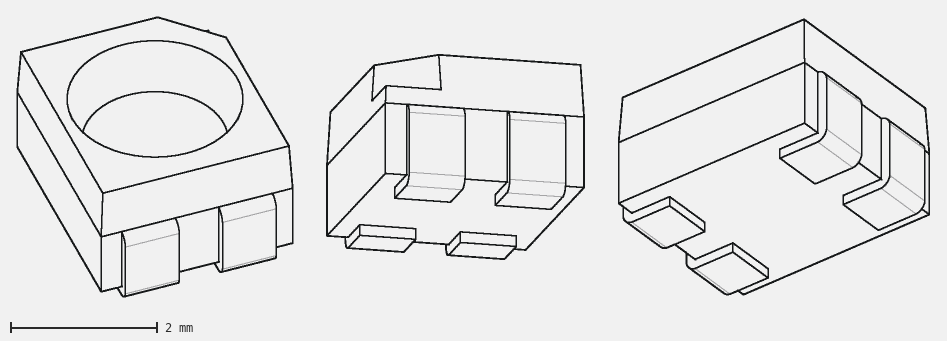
import cadquery as cq
import math

overall_length = 3.5
body_width = 2.8
lead_thickness = 0.15
lead_width = 0.788
lead_pitch = 1.418
foot_length = 0.8
lead_bend_radius = 0.175
base_height = 1.0
cover_height = 0.75
draft_angle = 3.0
cup_top_diameter = 2.4
cup_floor_diameter = 2.0
corner_leg = 0.8
corner_depth = 0.5

body_length = overall_length - 2 * lead_thickness
base_bottom = lead_thickness
base_top = base_bottom + base_height
cover_top = base_top + cover_height


def make_base():
    """Plain block whose top face closes the bottom of the cup."""
    return (
        cq.Workplane("XY", origin=(0, 0, base_bottom))
        .rect(body_length, body_width)
        .extrude(base_height)
    )


def make_cup():
    """Conical opening through the whole height of the cover."""
    floor_radius = cup_floor_diameter / 2
    top_radius = cup_top_diameter / 2
    return cq.Workplane(
        cq.Solid.makeCone(floor_radius, top_radius, cover_height, pnt=cq.Vector(0, 0, base_top))
    )


def make_corner_notch():
    """Triangular prism at the -X, +Y corner that marks the polarity."""
    corner_x = -body_length / 2
    corner_y = body_width / 2
    return (
        cq.Workplane("XY", origin=(0, 0, cover_top - corner_depth))
        .moveTo(corner_x, corner_y)
        .lineTo(corner_x + corner_leg, corner_y)
        .lineTo(corner_x, corner_y - corner_leg)
        .close()
        .extrude(corner_depth)
    )


def make_cover():
    """Drafted upper frame with the cup and the polarity corner cut out."""
    frame = (
        cq.Workplane("XY", origin=(0, 0, base_top))
        .rect(body_length, body_width)
        .extrude(cover_height, taper=draft_angle)
    )
    return frame.cut(make_cup()).cut(make_corner_notch())


def make_lead(side, center_y):
    """L-shaped lead on the given X side (-1 or 1), wrapping under the base."""
    outer_x = side * overall_length / 2
    inner_x = side * body_length / 2
    foot_x = side * (overall_length / 2 - foot_length)
    half_chord = lead_thickness * math.sqrt(0.5)
    bulge = lead_bend_radius - math.sqrt(lead_bend_radius**2 - half_chord**2)
    mid_inset = lead_thickness / 2 - bulge * math.sqrt(0.5)
    arc_x = outer_x - side * mid_inset
    return (
        cq.Workplane("XZ", origin=(0, center_y + lead_width / 2, 0))
        .moveTo(foot_x, 0)
        .lineTo(inner_x, 0)
        .threePointArc((arc_x, mid_inset), (outer_x, lead_thickness))
        .lineTo(outer_x, base_top - lead_thickness)
        .threePointArc((arc_x, base_top - mid_inset), (inner_x, base_top))
        .lineTo(inner_x, base_bottom)
        .lineTo(foot_x, base_bottom)
        .close()
        .extrude(lead_width)
    )


base = make_base()
cover = make_cover()
leads = [
    make_lead(side, row * lead_pitch / 2)
    for side in (-1, 1)
    for row in (-1, 1)
]

result = cq.Compound.makeCompound([base.val(), cover.val(), *[lead.val() for lead in leads]])